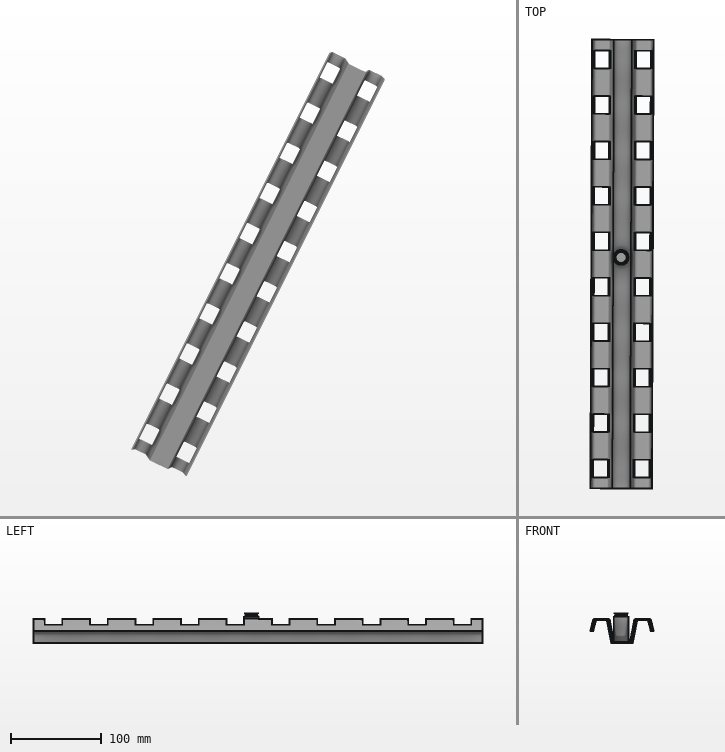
import cadquery as cq
import math

rail_length = 494.0
sheet = 1.5
flange_top = 26.7
base_half = 9.73
flange_inner_half = 14.56
flange_outer_half = 30.63
lip_tip_half = 34.04
lip_tip_height = 13.4
bend_outer = 2.8
bend_inner = bend_outer - sheet
base_round = 0.4

notch_count = 10
notch_pitch = 50.0
notch_length = 19.4
notch_floor = 20.44

post_x = -1.0
post_y = 7.27
post_radius = 8.3
post_shoulder = 29.25
neck_radius = 7.0
groove_radius = 6.4
groove_height = 32.2
rim_radius = 7.3
post_top = 33.08
bore_radius = 6.0
bore_depth = 2.4

part_turn = -0.2145

pick_reach = 0.01


def moved_right(start, end):
    """Segment from start to end, moved one sheet thickness to its right."""
    run = end[0] - start[0]
    rise = end[1] - start[1]
    length = math.hypot(run, rise)
    move_x = sheet * rise / length
    move_z = -sheet * run / length
    return (start[0] + move_x, start[1] + move_z), (end[0] + move_x, end[1] + move_z)


def crossing(first, second):
    """Point where the lines through two segments cross."""
    (ax, az), (bx, bz) = first
    (cx, cz), (dx, dz) = second
    ux, uz = bx - ax, bz - az
    vx, vz = dx - cx, dz - cz
    step = ((cx - ax) * vz - (cz - az) * vx) / (ux * vz - uz * vx)
    return ax + step * ux, az + step * uz


def mirrored(points):
    """Points mirrored across the middle of the rail, in reverse order."""
    return [(-x, z) for x, z in reversed(points)]


def round_edge_pair(body, corner, radius):
    """Round the two lengthwise edges at a section corner and its mirror image."""
    x, z = corner
    for place in (-x, x):
        box = cq.selectors.BoxSelector(
            (place - pick_reach, -pick_reach, z - pick_reach),
            (place + pick_reach, pick_reach, z + pick_reach),
        )
        body = body.edges(box).fillet(radius)
    return body


def make_rail():
    """Folded sheet section extruded along Y, with its bends rounded."""
    floor_middle = (0, sheet)
    base_corner = (base_half, sheet)
    inner_corner = (flange_inner_half, flange_top)
    outer_corner = (flange_outer_half, flange_top)
    lip_tip = (lip_tip_half, lip_tip_height)

    upper = [floor_middle, base_corner, inner_corner, outer_corner, lip_tip]
    segments = [moved_right(start, end) for start, end in zip(upper, upper[1:])]
    lower_corners = [crossing(first, second) for first, second in zip(segments, segments[1:])]
    lower_base, lower_inner, lower_outer = lower_corners
    lower_tip = segments[-1][1]

    upper_right = upper[1:]
    lower_right = lower_corners + [lower_tip]
    outline = mirrored(upper_right) + upper_right + lower_right[::-1] + mirrored(lower_right)[::-1]
    rail = cq.Workplane("XZ").polyline(outline).close().extrude(rail_length / 2, both=True)

    for corner in (inner_corner, outer_corner):
        rail = round_edge_pair(rail, corner, bend_outer)
    for corner in (lower_inner, lower_outer):
        rail = round_edge_pair(rail, corner, bend_inner)
    return round_edge_pair(rail, lower_base, base_round)


def make_notches():
    """Blocks that cut away both flanges at every notch."""
    first = -(notch_count - 1) / 2 * notch_pitch
    places = [(0, first + i * notch_pitch) for i in range(notch_count)]
    return (
        cq.Workplane("XY", origin=(0, 0, notch_floor))
        .pushPoints(places)
        .rect(2 * lip_tip_half, notch_length)
        .extrude(flange_top - notch_floor)
    )


def make_post():
    """Round post with a groove under its flared rim and a shallow bore in its top."""
    bore_floor = post_top - bore_depth
    half_section = [
        (0, 0),
        (post_radius, 0),
        (post_radius, post_shoulder),
        (neck_radius, post_shoulder),
        (groove_radius, groove_height),
        (rim_radius, post_top),
        (bore_radius, post_top),
        (bore_radius, bore_floor),
        (0, bore_floor),
    ]
    post = cq.Workplane("XZ").polyline(half_section).close().revolve(360, (0, 0), (0, 1))
    return post.translate((post_x, post_y, 0))


rail = make_rail().cut(make_notches())
result = rail.union(make_post()).rotate((0, 0, 0), (0, 0, 1), part_turn)